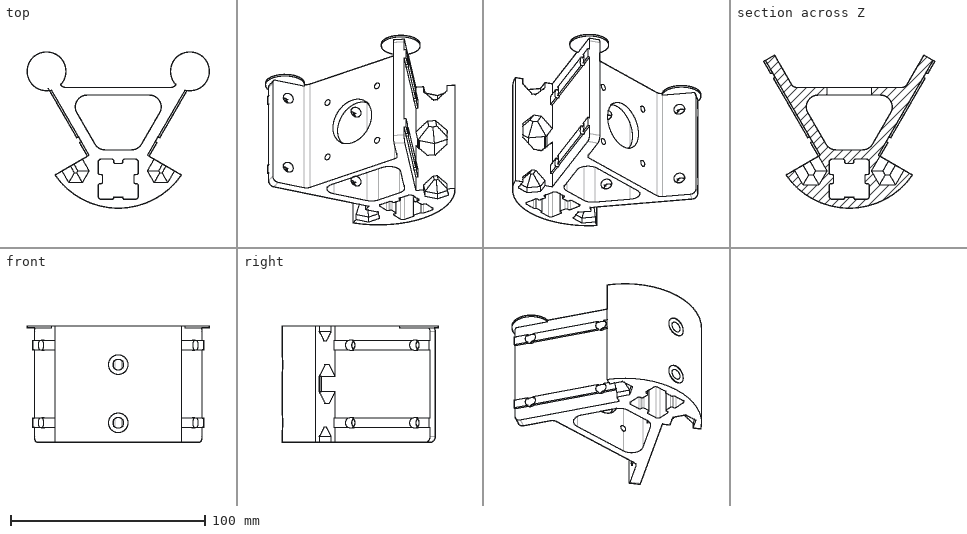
import cadquery as cq
import math

HEIGHT = 60.0
APEX_Y = -15.0

FLANK_ANGLE = 60.0
COS_FLANK = math.cos(math.radians(FLANK_ANGLE))
SIN_FLANK = math.sin(math.radians(FLANK_ANGLE))
FLANK_START = (15.0, 12.3)
SHOULDER_LENGTH = 20.3
FLANK_LENGTH = 56.4
ARM_THICKNESS = 5.5
ARM_CORNER_RADIUS = 3.0

BACK_Y = 47.2
BACK_FILLET = 3.0
CAVITY_FRONT_Y = 15.1
CAVITY_BACK_Y = 43.2
CAVITY_RADIUS = 6.0

MOTOR_BORE_DIAMETER = 24.7
MOTOR_SCREW_SPACING = 31.5
MOTOR_SCREW_DIAMETER = 3.2

PAD_RADIUS = 10.0
PAD_THICKNESS = 1.0
PAD_X = 46.9 - PAD_RADIUS
PAD_Y = 55.5

STRIP_HEIGHT = 4.8
STRIP_THICKNESS = 1.0
STRIP_LEVELS = (10.0, 50.0)
SCREW_OFFSETS = (9.6, 47.7)
SCREW_DIAMETER = 5.5
SCREW_DEPTH = 14.1

SOCKET_SIDE = 20.55
SOCKET_CORNER_RADIUS = 1.5
KEY_WIDTH = 4.8
KEY_HEIGHT = 2.25
FRONT_KEY_HEIGHT = 1.0
KEY_FILLET = 0.8

BOLT_LEVELS = (10.0, 40.0)
BOLT_DIAMETER = 5.5
SPOTFACE_DIAMETER = 10.0
SPOTFACE_DEPTH = 0.33
SPOTFACE_Y = APEX_Y + SPOTFACE_DEPTH

END_NUT_FLATS = 12.1
END_NUT_FROM_FLANK = 10.0
END_NUT_DEPTH = 2.9
MIDDLE_NUT_FLATS = 16.1
MIDDLE_NUT_HEIGHT = 7.9
NUT_TIP_HALF_WIDTH = 1.0
MIDDLE_TIP_HALF_WIDTH = 2.1
POCKET_OPENING = 0.9

PASSAGE_LENGTH = 21.8
PASSAGE_FRONT_Y = 3.4
PASSAGE_BACK_Y = 5.2

CUT_MARGIN = 0.9


def flank_point(along, outward):
    """Point on the right side, measured along the flank from the shoulder and out from its face."""
    return (
        FLANK_START[0] + along * COS_FLANK + outward * SIN_FLANK,
        FLANK_START[1] + along * SIN_FLANK - outward * COS_FLANK,
    )


def flank_line_point(y, inset):
    """Point at the given Y on the line parallel to the right flank and inset from it."""
    x_on_flank = FLANK_START[0] + (y - FLANK_START[1]) * COS_FLANK / SIN_FLANK
    return (x_on_flank - inset / SIN_FLANK, y)


def mirrored(point):
    return (-point[0], point[1])


def both_sides(solid):
    return solid.union(solid.mirror("YZ"))


def prism(points, height, base_z=0.0):
    return cq.Workplane("XY").workplane(offset=base_z).polyline(points).close().extrude(height)


def y_cylinder(diameter, x, z, start_y, end_y):
    start = cq.Vector(x, start_y, z)
    direction = cq.Vector(0, 1, 0)
    return cq.Workplane(cq.Solid.makeCylinder(diameter / 2, end_y - start_y, start, direction))


def make_front():
    shoulder_tip = flank_point(0, SHOULDER_LENGTH)
    inner_corner = flank_point(0, 0)
    return (
        cq.Workplane("XY")
        .moveTo(*mirrored(shoulder_tip))
        .threePointArc((0, APEX_Y), shoulder_tip)
        .lineTo(*inner_corner)
        .lineTo(*mirrored(inner_corner))
        .close()
        .extrude(HEIGHT)
    )


def make_frame():
    flank_end = flank_point(FLANK_LENGTH, 0)
    arm_tip = flank_point(FLANK_LENGTH, -ARM_THICKNESS)
    arm_root = flank_line_point(BACK_Y, ARM_THICKNESS)
    right_side = [flank_point(0, 0), flank_end, arm_tip, arm_root]
    left_side = [mirrored(point) for point in reversed(right_side)]
    frame = prism(right_side + left_side, HEIGHT)
    for root in (arm_root, mirrored(arm_root)):
        edge = cq.selectors.NearestToPointSelector((*root, HEIGHT / 2))
        frame = frame.edges(edge).fillet(BACK_FILLET)

    end_middle = flank_point(FLANK_LENGTH, -ARM_THICKNESS / 2)
    for middle in (end_middle, mirrored(end_middle)):
        for z in (0, HEIGHT):
            edge = cq.selectors.NearestToPointSelector((*middle, z))
            frame = frame.edges(edge).fillet(ARM_CORNER_RADIUS)
    return frame


def make_cavity():
    back_corner = flank_line_point(CAVITY_BACK_Y, ARM_THICKNESS)
    front_corner = flank_line_point(CAVITY_FRONT_Y, ARM_THICKNESS)
    outline = [back_corner, front_corner, mirrored(front_corner), mirrored(back_corner)]
    return prism(outline, HEIGHT).edges("|Z").fillet(CAVITY_RADIUS)


def make_motor_mount():
    start_y = CAVITY_BACK_Y - CAVITY_RADIUS
    end_y = BACK_Y + BACK_FILLET
    mount = y_cylinder(MOTOR_BORE_DIAMETER, 0, HEIGHT / 2, start_y, end_y)
    half_spacing = MOTOR_SCREW_SPACING / 2
    for x in (-half_spacing, half_spacing):
        for z in (HEIGHT / 2 - half_spacing, HEIGHT / 2 + half_spacing):
            mount = mount.union(y_cylinder(MOTOR_SCREW_DIAMETER, x, z, start_y, end_y))
    return mount


def make_pads():
    return (
        cq.Workplane("XY")
        .workplane(offset=HEIGHT - PAD_THICKNESS)
        .pushPoints([(-PAD_X, PAD_Y), (PAD_X, PAD_Y)])
        .circle(PAD_RADIUS)
        .extrude(PAD_THICKNESS)
    )


def make_strip(z):
    outline = [
        flank_point(0, -ARM_THICKNESS / 2),
        flank_point(0, STRIP_THICKNESS),
        flank_point(FLANK_LENGTH, STRIP_THICKNESS),
        flank_point(FLANK_LENGTH, -ARM_THICKNESS / 2),
    ]
    return both_sides(prism(outline, STRIP_HEIGHT, z - STRIP_HEIGHT / 2))


def make_screw_hole(along, z):
    start = cq.Vector(*flank_point(along, STRIP_THICKNESS), z)
    inward = cq.Vector(-SIN_FLANK, COS_FLANK, 0)
    hole = cq.Solid.makeCylinder(SCREW_DIAMETER / 2, SCREW_DEPTH, start, inward)
    return both_sides(cq.Workplane(hole))


def make_key():
    """Key standing on the socket's +Y wall, with rounded tips and rounded roots."""
    wall = SOCKET_SIDE / 2
    half_width = KEY_WIDTH / 2
    tip = wall - KEY_HEIGHT
    return (
        cq.Workplane("XY")
        .moveTo(-half_width - KEY_FILLET, wall)
        .radiusArc((-half_width, wall - KEY_FILLET), KEY_FILLET)
        .lineTo(-half_width, tip + KEY_FILLET)
        .radiusArc((-half_width + KEY_FILLET, tip), -KEY_FILLET)
        .lineTo(half_width - KEY_FILLET, tip)
        .radiusArc((half_width, tip + KEY_FILLET), -KEY_FILLET)
        .lineTo(half_width, wall - KEY_FILLET)
        .radiusArc((half_width + KEY_FILLET, wall), KEY_FILLET)
        .close()
        .extrude(HEIGHT)
    )


def make_socket():
    socket = (
        cq.Workplane("XY")
        .rect(SOCKET_SIDE, SOCKET_SIDE)
        .extrude(HEIGHT)
        .edges("|Z").fillet(SOCKET_CORNER_RADIUS)
    )
    key = make_key()
    for angle in (-90, 0, 90):
        socket = socket.cut(key.rotate((0, 0, 0), (0, 0, 1), angle))
    front_wall_y = -SOCKET_SIDE / 2
    front_strip = (
        cq.Workplane("XY")
        .center(0, front_wall_y)
        .rect(SOCKET_SIDE, 2 * FRONT_KEY_HEIGHT)
        .extrude(HEIGHT)
    )
    front_key = key.rotate((0, 0, 0), (0, 0, 1), 180).intersect(front_strip)
    return socket.cut(front_key)


def make_bolt_hole(z):
    hole = y_cylinder(BOLT_DIAMETER, 0, z, APEX_Y - CUT_MARGIN, 0)
    spotface = y_cylinder(SPOTFACE_DIAMETER, 0, z, APEX_Y - CUT_MARGIN, SPOTFACE_Y)
    return hole.union(spotface)


def nut_outline(half_width, nut_along, from_flank):
    """Half a hexagon whose two parallel sides run on out through the shoulder."""
    half_side = half_width / math.sqrt(3)
    return [
        flank_point(POCKET_OPENING, from_flank - half_width),
        flank_point(nut_along - half_side, from_flank - half_width),
        flank_point(nut_along - 2 * half_side, from_flank),
        flank_point(nut_along - half_side, from_flank + half_width),
        flank_point(POCKET_OPENING, from_flank + half_width),
    ]


def make_nut_pocket(flats, tip_half_width, from_flank, low_z, high_z, taper_down, taper_up):
    """Straight pocket from low_z to high_z, closing at 45 degrees beyond the ends asked for."""
    nut_along = -flats / 2 / math.sqrt(3)
    wide = nut_outline(flats / 2, nut_along, from_flank)
    narrow = nut_outline(tip_half_width, nut_along, from_flank)
    taper_height = flats / 2 - tip_half_width
    pocket = prism(wide, high_z - low_z, low_z)
    tips = []
    if taper_down:
        tips.append((low_z, low_z - taper_height))
    if taper_up:
        tips.append((high_z, high_z + taper_height))
    for wide_z, narrow_z in tips:
        wide_wire = cq.Wire.makePolygon([cq.Vector(x, y, wide_z) for x, y in wide], close=True)
        narrow_wire = cq.Wire.makePolygon([cq.Vector(x, y, narrow_z) for x, y in narrow], close=True)
        pocket = pocket.union(cq.Workplane(cq.Solid.makeLoft([wide_wire, narrow_wire], True)))
    return both_sides(pocket)


def make_nut_pockets():
    bottom = make_nut_pocket(
        END_NUT_FLATS, NUT_TIP_HALF_WIDTH, END_NUT_FROM_FLANK,
        0, END_NUT_DEPTH, taper_down=False, taper_up=True,
    )
    top = make_nut_pocket(
        END_NUT_FLATS, NUT_TIP_HALF_WIDTH, END_NUT_FROM_FLANK,
        HEIGHT - END_NUT_DEPTH, HEIGHT, taper_down=True, taper_up=False,
    )
    middle = make_nut_pocket(
        MIDDLE_NUT_FLATS, MIDDLE_TIP_HALF_WIDTH, MIDDLE_NUT_FLATS / 2,
        (HEIGHT - MIDDLE_NUT_HEIGHT) / 2, (HEIGHT + MIDDLE_NUT_HEIGHT) / 2,
        taper_down=True, taper_up=True,
    )
    return [bottom, top, middle]


def make_passage():
    width = PASSAGE_BACK_Y - PASSAGE_FRONT_Y
    middle_y = (PASSAGE_FRONT_Y + PASSAGE_BACK_Y) / 2
    passage = cq.Workplane("XY").box(PASSAGE_LENGTH, width, MIDDLE_NUT_HEIGHT)
    return passage.translate((0, middle_y, HEIGHT / 2))


body = make_front().union(make_frame())
for level in STRIP_LEVELS:
    body = body.union(make_strip(level))
body = body.union(make_pads())

body = body.cut(make_cavity()).cut(make_motor_mount()).cut(make_socket())
for pocket in make_nut_pockets():
    body = body.cut(pocket)
body = body.cut(make_passage())
for level in BOLT_LEVELS:
    body = body.cut(make_bolt_hole(level))
for level in STRIP_LEVELS:
    for offset in SCREW_OFFSETS:
        body = body.cut(make_screw_hole(offset, level))

result = body